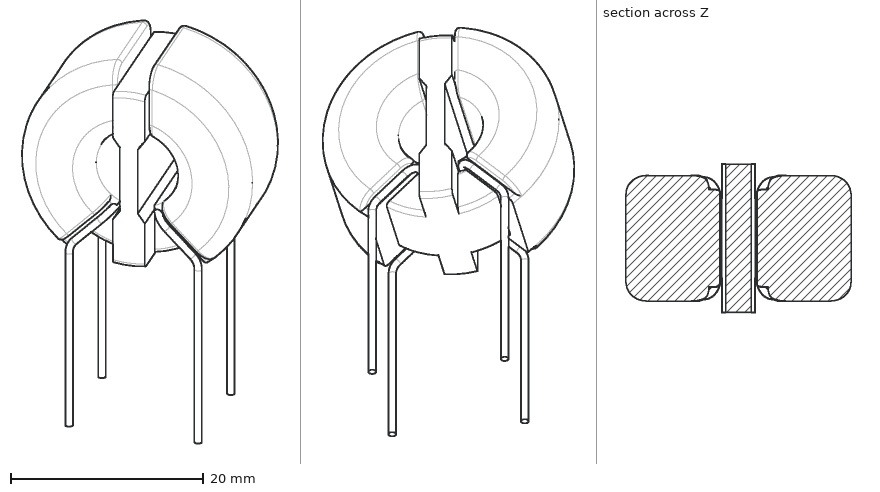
import cadquery as cq
import math


core_outer_radius = 10.05
core_inner_radius = 5.1
core_depth = 8.3
core_edge_radius = 0.5

separator_half_width = 1.75
separator_depth = 15.5
waist_half_width = 0.98
waist_half_height = 3.7
waist_taper_height = 1.05

winding_outer_radius = 12.45
winding_inner_radius = 4.5
winding_depth = 13.1
winding_edge_radius = 2.0
winding_end_radius = 0.42
last_turn_depth = 10.18
last_turn_edge_radius = 0.5
winding_end_offset = 0.8

wire_diameter = 0.8
wire_bend_radius = 2.0
wire_offset = 1.6
lead_x = 7.0
lead_y = 6.0
bore_run_x = 2.2

overall_height = 42.4

end_rounding_x = separator_half_width + winding_end_radius
end_rounding_z = math.sqrt((winding_outer_radius - winding_end_radius) ** 2 - end_rounding_x**2)
winding_top = end_rounding_z + winding_end_radius
lead_bottom = winding_top - overall_height

SLANT = math.sqrt(0.5)


def ring(outer_radius, inner_radius, depth, edge_radius):
    """Ring around the Y axis, rounded on all four circular edges."""
    return (
        cq.Workplane("XZ", origin=(0, depth / 2, 0))
        .circle(outer_radius)
        .circle(inner_radius)
        .extrude(depth)
        .edges("%CIRCLE")
        .fillet(edge_radius)
    )


def right_sector(end_offset, top):
    """Prism between the separator side, a 45 degree plane below the ring centre and a flat top."""
    reach = 2 * winding_outer_radius
    drop = end_offset / SLANT
    return (
        cq.Workplane("XZ")
        .moveTo(separator_half_width, -separator_half_width - drop)
        .lineTo(separator_half_width, top)
        .lineTo(reach, top)
        .lineTo(reach, -reach - drop)
        .close()
        .extrude(reach, both=True)
    )


def winding():
    """Right winding: a rounded ring sector with rims rounded at both ends."""
    full_ring = ring(winding_outer_radius, winding_inner_radius, winding_depth, winding_edge_radius)
    sector = full_ring.intersect(right_sector(winding_end_offset, winding_outer_radius))
    for end_normal in (cq.Vector(1, 0, 0), cq.Vector(1, 0, 1)):
        end_face = sector.faces(cq.selectors.ParallelDirSelector(end_normal))
        sector = end_face.edges().fillet(winding_end_radius)
    return sector


def last_turn():
    """Shallower sector that continues the lower end of the right winding to its slanted leads."""
    full_ring = ring(winding_outer_radius, winding_inner_radius, last_turn_depth, last_turn_edge_radius)
    return full_ring.intersect(right_sector(wire_offset, 0))


def separator():
    """Bar across the ring, narrowed to a waist inside the bore, with rounded tips."""
    taper_end = waist_half_height + waist_taper_height
    side = [
        (separator_half_width, -core_outer_radius),
        (separator_half_width, -taper_end),
        (waist_half_width, -waist_half_height),
        (waist_half_width, waist_half_height),
        (separator_half_width, taper_end),
        (separator_half_width, core_outer_radius),
    ]
    opposite_side = [(-x, -z) for x, z in side]
    bar = cq.Workplane("XZ").polyline(side + opposite_side).close().extrude(separator_depth / 2, both=True)
    envelope = (
        cq.Workplane("XZ")
        .circle(core_outer_radius)
        .extrude(separator_depth / 2, both=True)
        .edges("%CIRCLE")
        .fillet(core_edge_radius)
    )
    return bar.intersect(envelope)


def rounded_path(corners, bend_radius):
    """Wire through the corner points, with every inner corner replaced by a tangent arc."""
    edges = []
    start = corners[0]
    for corner, following in zip(corners[1:-1], corners[2:]):
        incoming = (corner - start).normalized()
        outgoing = (following - corner).normalized()
        setback = bend_radius * math.tan(incoming.getAngle(outgoing) / 2)
        arc_start = corner - incoming * setback
        arc_end = corner + outgoing * setback
        edges.append(cq.Edge.makeLine(start, arc_start))
        edges.append(cq.Edge.makeTangentArc(arc_start, incoming, arc_end))
        start = arc_end
    edges.append(cq.Edge.makeLine(start, corners[-1]))
    return cq.Wire.assembleEdges(edges)


def slant_point(x):
    """Point at the given X on the slanted run of the front right wire."""
    return cq.Vector(x, -lead_y, -wire_offset / SLANT - x)


def lead_wire():
    """Right wire: two leads joined by slanted runs and a straight run through the bore."""
    elbow = slant_point(lead_x)
    bore_corner = slant_point(bore_run_x)
    lead_tip = cq.Vector(lead_x, -lead_y, lead_bottom)
    bore_middle = cq.Vector(bore_corner.x, 0, bore_corner.z)
    path = rounded_path([lead_tip, elbow, bore_corner, bore_middle], wire_bend_radius)
    front_half = (
        cq.Workplane("XY", origin=lead_tip.toTuple())
        .circle(wire_diameter / 2)
        .sweep(cq.Workplane(path))
    )
    return front_half.union(front_half.mirror("XZ"))


coil = last_turn().union(winding()).union(lead_wire())
core = ring(core_outer_radius, core_inner_radius, core_depth, core_edge_radius)

result = core.union(separator()).union(coil).union(coil.mirror("YZ"))